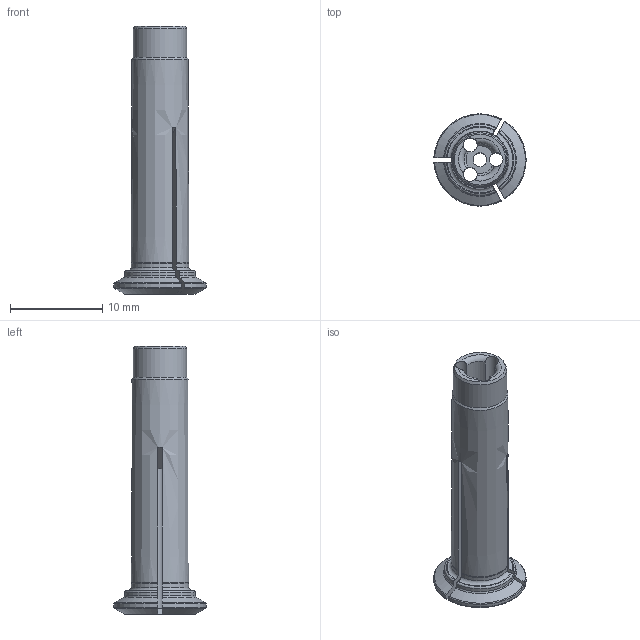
import cadquery as cq
import math

total_height = 29.0
flange_radius = 5.0

flange_cone_angle = 30.0
rim_bottom_z = 0.74
rim_top_z = 1.09
rim_fillet = 0.14

collar_radius = 3.84
collar_root_fillet = 0.2
collar_top_z = 2.52
collar_top_fillet = 0.2

neck_radius = 3.1
cove_radius = 0.47
cove_end_radius = 3.55
shank_lower_radius = 3.13
neck_step_z = 3.28
shank_lower_z = 3.42
shank_upper_radius = 3.035
shank_top_z = 25.4

head_radius = 5.8 / 2
head_start_z = 25.63
head_chamfer_height = 0.32
head_chamfer_width = 0.14

socket_radius = 1.73
socket_mouth_radius = 2.33
socket_mouth_rounding = 0.62
socket_depth = 5.0
socket_floor_radius = 1.5

hole_diameter = 1.5
single_hole_x = 1.75
paired_hole_x = -1.05
paired_hole_y = 1.6

slot_width = 0.45
slot_angles = (60, 180, 300)
slot_top_z = 18.0
slot_foot_rise = 0.68
slot_overlap = 0.1
slot_overrun = 1.0


def on_circle(center, radius, angle):
    """Point at an angle in degrees on a circle in the XZ plane."""
    turn = math.radians(angle)
    return (center[0] + radius * math.cos(turn), center[1] + radius * math.sin(turn))


def add_arc(profile, center, radius, start_angle, end_angle):
    """Line to the start of an arc, then the arc itself."""
    start = on_circle(center, radius, start_angle)
    middle = on_circle(center, radius, (start_angle + end_angle) / 2)
    end = on_circle(center, radius, end_angle)
    return profile.lineTo(*start).threePointArc(middle, end)


def revolve(profile):
    return profile.close().revolve(360, (0, 0, 0), (0, 1, 0))


def make_body():
    cone_slope = math.tan(math.radians(flange_cone_angle))
    cone_normal = 90 - flange_cone_angle

    rim_center_radius = flange_radius - rim_fillet
    lower_rim_center = (rim_center_radius, rim_bottom_z)
    upper_rim_center = (rim_center_radius, rim_top_z)
    lower_cone_top = on_circle(lower_rim_center, rim_fillet, -cone_normal)
    upper_cone_foot = on_circle(upper_rim_center, rim_fillet, cone_normal)
    foot_radius = lower_cone_top[0] - lower_cone_top[1] / cone_slope

    root_center_radius = collar_radius + collar_root_fillet
    root_offset = on_circle((0, 0), collar_root_fillet, 180 + cone_normal)
    root_end_z = upper_cone_foot[1] + cone_slope * (
        upper_cone_foot[0] - root_center_radius - root_offset[0]
    )
    root_center = (root_center_radius, root_end_z - root_offset[1])

    collar_edge_center = (collar_radius - collar_top_fillet, collar_top_z - collar_top_fillet)

    cove_center = (cove_end_radius, collar_top_z + cove_radius)
    cove_end_angle = 180 + math.degrees(math.acos((cove_end_radius - neck_radius) / cove_radius))

    profile = cq.Workplane("XZ").lineTo(foot_radius, 0)
    profile = add_arc(profile, lower_rim_center, rim_fillet, -cone_normal, 0)
    profile = add_arc(profile, upper_rim_center, rim_fillet, 0, cone_normal)
    profile = add_arc(profile, root_center, collar_root_fillet, 180 + cone_normal, 180)
    profile = add_arc(profile, collar_edge_center, collar_top_fillet, 0, 90)
    profile = add_arc(profile, cove_center, cove_radius, 270, cove_end_angle)
    profile = (
        profile.lineTo(neck_radius, neck_step_z)
        .lineTo(shank_lower_radius, shank_lower_z)
        .lineTo(shank_upper_radius, shank_top_z)
        .lineTo(head_radius, head_start_z)
        .lineTo(head_radius, total_height - head_chamfer_height)
        .lineTo(head_radius - head_chamfer_width, total_height)
        .lineTo(0, total_height)
    )
    return revolve(profile)


def make_socket():
    """Round socket with a rounded mouth and a small bevel at its floor."""
    floor_z = total_height - socket_depth
    bevel_top_z = floor_z + socket_radius - socket_floor_radius
    mouth_center = (socket_mouth_radius, total_height - socket_mouth_rounding)
    mouth_width = socket_mouth_radius - socket_radius
    mouth_start_angle = 180 - math.degrees(math.acos(mouth_width / socket_mouth_rounding))
    profile = (
        cq.Workplane("XZ")
        .moveTo(0, floor_z)
        .lineTo(socket_floor_radius, floor_z)
        .lineTo(socket_radius, bevel_top_z)
    )
    profile = add_arc(profile, mouth_center, socket_mouth_rounding, mouth_start_angle, 90)
    return revolve(profile.lineTo(0, total_height))


def make_holes():
    centers = [
        (0, 0),
        (single_hole_x, 0),
        (paired_hole_x, paired_hole_y),
        (paired_hole_x, -paired_hole_y),
    ]
    return cq.Workplane("XY").pushPoints(centers).circle(hole_diameter / 2).extrude(total_height)


def make_slot(angle):
    """Slot from the axial hole outward, with 45-degree slopes at its top and foot."""
    inner_radius = hole_diameter / 2 - slot_overlap
    outer_radius = flange_radius + slot_overrun
    top_inner_z = slot_top_z - (shank_upper_radius - inner_radius)
    top_outer_z = top_inner_z + outer_radius - inner_radius
    slot = (
        cq.Workplane("XZ")
        .moveTo(inner_radius, slot_foot_rise)
        .lineTo(inner_radius + slot_foot_rise, 0)
        .lineTo(outer_radius, 0)
        .lineTo(outer_radius, top_outer_z)
        .lineTo(inner_radius, top_inner_z)
        .close()
        .extrude(slot_width / 2, both=True)
    )
    return slot.rotate((0, 0, 0), (0, 0, 1), angle)


result = make_body().cut(make_socket()).cut(make_holes())
for slot_angle in slot_angles:
    result = result.cut(make_slot(slot_angle))